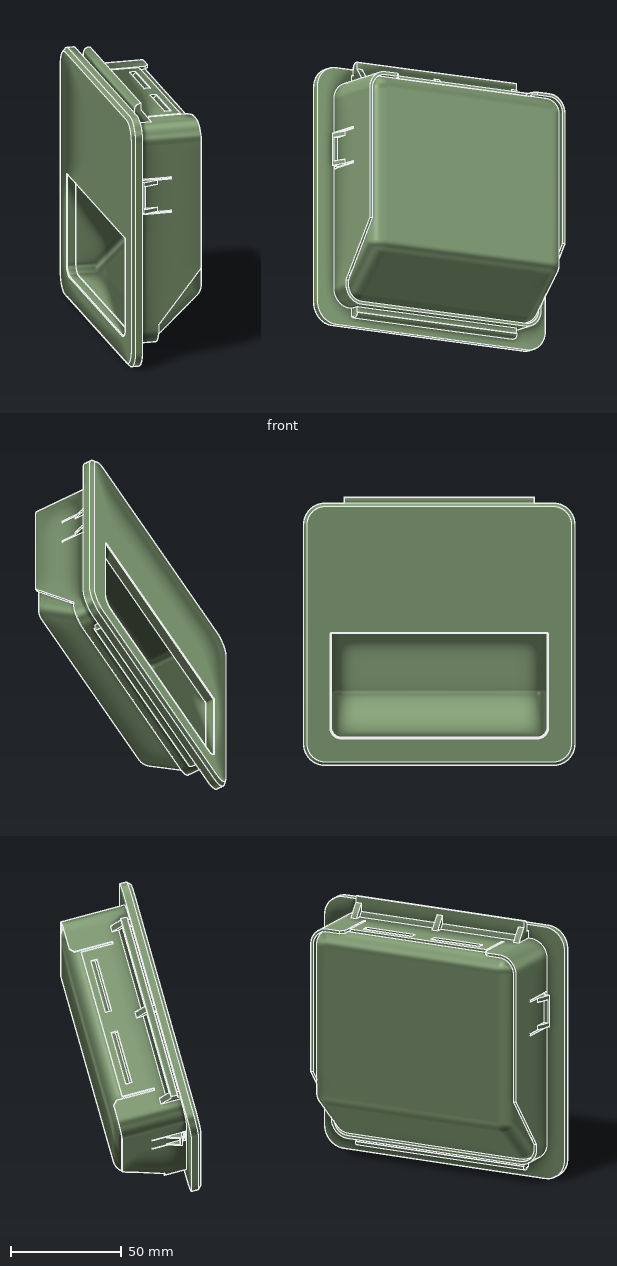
import cadquery as cq


PLATE_WIDTH = 123.0
PLATE_HEIGHT = 118.8
PLATE_THICKNESS = 4.9
PLATE_CORNER = 9.8
PLATE_CHAMFER = 1.6

RING_HALF_WIDTH = 52.6
RING_BOTTOM = 8.4
RING_TOP = 112.4
RING_CORNER = 8.4
RING_THICKNESS = 1.4
RING_BACK = 34.9
RING_SLOPE_TOP = 44.0
RING_LOW_BACK = 15.0
RING_LOW_TOP = 18.7

CUP_BACK = 37.0
CUP_OUTER_ROUND = RING_CORNER - RING_THICKNESS
CUP_WALL = 2.5
CUP_INNER_ROUND = CUP_OUTER_ROUND - CUP_WALL
CUP_CENTRE_X = RING_HALF_WIDTH - RING_CORNER
CUP_CENTRE_TOP = RING_TOP - RING_CORNER
CUP_CENTRE_BACK = CUP_BACK - CUP_OUTER_ROUND
CUP_CENTRE_BOTTOM = 17.3
CUP_CENTRE_BEND = 34.0
CUP_CENTRE_SLOPE_FRONT = 12.3
CAVITY_FRONT = 4.3

MOUTH_TOP = 59.8
MOUTH_STEP = 0.4
MOUTH_CHAMFER = 0.4
MOUTH_TOP_CORNER = 0.5

NOTCH_HALF_WIDTH = 35.9
NOTCH_FRONT = 30.1
NOTCH_CHAMFER = 1.8
TOP_SLIT_WIDTH = 1.0
TOP_SLIT_FRONT = 15.1

SLOT_INNER_X = 4.9
SLOT_OUTER_X = 29.8
SLOT_FRONT = 24.1
SLOT_BACK = 27.0
SLOT_LEDGE = 1.0
SLOT_DEPTH = 2.5
SLOT_BACK_DEPTH = 0.4

TAB_Z = 80.2
TAB_FRONT = 6.3
TAB_BACK = 20.9
TAB_HEIGHT = 14.9
SIDE_SLIT_WIDTH = 1.0
BARB_FRONT = 7.3
BARB_BACK = 14.3
BARB_REACH = 2.3
BARB_RIB = 2.0
BARB_LIP = 0.9

HOOK_HALF_WIDTH = 43.0
HOOK_TOP = 121.5
HOOK_FRONT = 6.2
HOOK_BACK = 9.3
HOOK_ROUND = 2.7
HOOK_WEB_BACK = 11.1
HOOK_RIB_BACK = 14.1
HOOK_RIB_TOP = 118.5
HOOK_RIB_WIDTH = 2.8
HOOK_FOOT_TOP = 116.0
BEAD_BOTTOM = 3.7
BEAD_BULGE = 0.5
BEAD_ROUND = 2.1
BEAD_FOOT = 4.4


def span(x0, x1, y0, y1, z0, z1):
    """Box between two opposite corners."""
    return cq.Workplane("XY").box(x1 - x0, y1 - y0, z1 - z0, centered=False).translate((x0, y0, z0))


def side_prism(points, x0, x1):
    """Closed (Y, Z) outline extruded from x0 to x1."""
    return cq.Workplane("YZ").workplane(offset=x0).polyline(points).close().extrude(x1 - x0)


def rounded_block(half_width, bottom, top, corner, front, back):
    """Block along Y with four rounded corners."""
    block = span(-half_width, half_width, front, back, bottom, top)
    return block.edges("|Y").fillet(corner)


def front_plate():
    """Rounded plate with a chamfered front edge."""
    plate = rounded_block(PLATE_WIDTH / 2, 0, PLATE_HEIGHT, PLATE_CORNER, 0, PLATE_THICKNESS)
    return plate.faces("<Y").chamfer(PLATE_CHAMFER)


def wall_ring():
    """Rounded wall whose back edge drops along a slope to a low lower end."""
    outer = rounded_block(RING_HALF_WIDTH, RING_BOTTOM, RING_TOP, RING_CORNER, PLATE_THICKNESS, RING_BACK)
    inner = rounded_block(
        RING_HALF_WIDTH - RING_THICKNESS,
        RING_BOTTOM + RING_THICKNESS,
        RING_TOP - RING_THICKNESS,
        RING_CORNER - RING_THICKNESS,
        PLATE_THICKNESS,
        RING_BACK,
    )
    outline = [
        (0, 0),
        (RING_LOW_BACK, 0),
        (RING_LOW_BACK, RING_LOW_TOP),
        (RING_BACK, RING_SLOPE_TOP),
        (RING_BACK, RING_TOP),
        (0, RING_TOP),
    ]
    return outer.cut(inner).intersect(side_prism(outline, -RING_HALF_WIDTH, RING_HALF_WIDTH))


def rounded_cup(rounding, front):
    """Cup with a sloping lower back, grown by the rounding around its centres and flat at the front."""
    half_width = CUP_CENTRE_X + rounding
    centres = [
        (front, CUP_CENTRE_BOTTOM),
        (CUP_CENTRE_SLOPE_FRONT, CUP_CENTRE_BOTTOM),
        (CUP_CENTRE_BACK, CUP_CENTRE_BEND),
        (CUP_CENTRE_BACK, CUP_CENTRE_TOP),
        (front, CUP_CENTRE_TOP),
    ]
    body = (
        cq.Workplane("YZ")
        .workplane(offset=-half_width)
        .polyline(centres)
        .close()
        .offset2D(rounding, "intersection")
        .extrude(2 * half_width)
    )
    body = body.edges("not(<Y)").fillet(rounding)
    return body.intersect(span(-half_width, half_width, front, CUP_BACK, 0, RING_TOP))


def mouth():
    """Opening through the plate, flared at the front face."""
    rounding = CUP_INNER_ROUND + MOUTH_STEP
    half_width = CUP_CENTRE_X + rounding
    opening = span(-half_width, half_width, 0, CAVITY_FRONT, CUP_CENTRE_BOTTOM - rounding, MOUTH_TOP)
    opening = opening.edges("|Y and <Z").fillet(rounding)
    opening = opening.edges("|Y and >Z").fillet(MOUTH_TOP_CORNER)
    rim = opening.faces("<Y").wires().toPending().offset2D(MOUTH_CHAMFER)
    flare = rim.extrude(-MOUTH_CHAMFER, taper=45, combine=False)
    return opening.union(flare)


def tongue_cuts():
    """Notch at the back of the ring top and the two slits beside the tongue."""
    floor = RING_TOP - RING_THICKNESS
    wide = NOTCH_HALF_WIDTH + NOTCH_CHAMFER
    notch = (
        cq.Workplane("XY")
        .workplane(offset=floor)
        .polyline(
            [
                (-NOTCH_HALF_WIDTH, NOTCH_FRONT),
                (NOTCH_HALF_WIDTH, NOTCH_FRONT),
                (NOTCH_HALF_WIDTH, RING_BACK - NOTCH_CHAMFER),
                (wide, RING_BACK),
                (-wide, RING_BACK),
                (-NOTCH_HALF_WIDTH, RING_BACK - NOTCH_CHAMFER),
            ]
        )
        .close()
        .extrude(RING_THICKNESS)
    )
    slit = span(
        NOTCH_HALF_WIDTH - TOP_SLIT_WIDTH, NOTCH_HALF_WIDTH, TOP_SLIT_FRONT, NOTCH_FRONT, floor, RING_TOP
    )
    return notch.union(slit).union(slit.mirror("YZ"))


def tongue_slots():
    """Two blind slots, each with a flat front strip and a floor rising to the back."""
    section = [
        (SLOT_FRONT, RING_TOP),
        (SLOT_FRONT, RING_TOP - SLOT_DEPTH),
        (SLOT_FRONT + SLOT_LEDGE, RING_TOP - SLOT_DEPTH),
        (SLOT_BACK, RING_TOP - SLOT_BACK_DEPTH),
        (SLOT_BACK, RING_TOP),
    ]
    slot = side_prism(section, SLOT_INNER_X, SLOT_OUTER_X)
    return slot.union(slot.mirror("YZ"))


def tab_slit():
    """U-shaped slit around the +X snap tab, open towards the back."""
    x0 = RING_HALF_WIDTH - RING_THICKNESS
    half = TAB_HEIGHT / 2
    outer = half + SIDE_SLIT_WIDTH
    front = TAB_FRONT - SIDE_SLIT_WIDTH
    frame = span(x0, RING_HALF_WIDTH, front, TAB_BACK, TAB_Z - outer, TAB_Z + outer)
    return frame.cut(span(x0, RING_HALF_WIDTH, TAB_FRONT, TAB_BACK, TAB_Z - half, TAB_Z + half))


def tab_barb():
    """Wedge on the +X snap tab, hollowed between its end ribs and front lip."""
    half = TAB_HEIGHT / 2
    tip = RING_HALF_WIDTH + BARB_REACH
    wedge = (
        cq.Workplane("XY")
        .workplane(offset=TAB_Z - half)
        .polyline(
            [
                (RING_HALF_WIDTH - RING_THICKNESS, BARB_FRONT),
                (tip, BARB_FRONT),
                (RING_HALF_WIDTH, BARB_BACK),
                (RING_HALF_WIDTH - RING_THICKNESS, BARB_BACK),
            ]
        )
        .close()
        .extrude(TAB_HEIGHT)
    )
    inner = half - BARB_RIB
    hollow = span(RING_HALF_WIDTH, tip, BARB_FRONT + BARB_LIP, BARB_BACK, TAB_Z - inner, TAB_Z + inner)
    return wedge.cut(hollow)


def top_hook():
    """Long hook with a rounded nose, a sloped root and three ribs."""
    base = RING_TOP - RING_THICKNESS
    slope = (HOOK_RIB_TOP - RING_TOP) / (HOOK_RIB_BACK - HOOK_BACK)
    web_top = RING_TOP + slope * (HOOK_WEB_BACK - HOOK_BACK)
    bar = span(-HOOK_HALF_WIDTH, HOOK_HALF_WIDTH, HOOK_FRONT, HOOK_BACK, base, HOOK_TOP)
    bar = bar.edges("|X and <Y and >Z").fillet(HOOK_ROUND)
    root = [
        (PLATE_THICKNESS, base),
        (HOOK_WEB_BACK, base),
        (HOOK_WEB_BACK, RING_TOP),
        (HOOK_BACK, web_top),
        (HOOK_FRONT, HOOK_FOOT_TOP),
        (PLATE_THICKNESS, RING_TOP),
    ]
    hook = bar.union(side_prism(root, -HOOK_HALF_WIDTH, HOOK_HALF_WIDTH))
    rib = [
        (PLATE_THICKNESS, base),
        (HOOK_RIB_BACK, base),
        (HOOK_RIB_BACK, RING_TOP),
        (HOOK_BACK, HOOK_RIB_TOP),
        (HOOK_BACK, HOOK_FOOT_TOP),
        (PLATE_THICKNESS, HOOK_FOOT_TOP),
    ]
    outer_rib = HOOK_HALF_WIDTH - HOOK_RIB_WIDTH / 2
    for x in (-outer_rib, 0, outer_rib):
        hook = hook.union(side_prism(rib, x - HOOK_RIB_WIDTH / 2, x + HOOK_RIB_WIDTH / 2))
    return hook


def bottom_bead():
    """Bead under the ring, rounded at its lower back."""
    base = RING_BOTTOM + RING_THICKNESS
    nose = HOOK_BACK + BEAD_BULGE
    return (
        cq.Workplane("YZ")
        .workplane(offset=-HOOK_HALF_WIDTH)
        .moveTo(PLATE_THICKNESS, base)
        .lineTo(HOOK_BACK, base)
        .lineTo(HOOK_BACK, BEAD_BOTTOM + BEAD_ROUND)
        .lineTo(nose, BEAD_BOTTOM + BEAD_ROUND)
        .radiusArc((nose - BEAD_ROUND, BEAD_BOTTOM), BEAD_ROUND)
        .lineTo(HOOK_FRONT, BEAD_BOTTOM)
        .lineTo(HOOK_FRONT, BEAD_FOOT)
        .lineTo(PLATE_THICKNESS, BEAD_FOOT)
        .close()
        .extrude(2 * HOOK_HALF_WIDTH)
    )


ring = wall_ring().cut(tongue_cuts())
result = front_plate().union(ring).union(rounded_cup(CUP_OUTER_ROUND, PLATE_THICKNESS))
result = result.cut(rounded_cup(CUP_INNER_ROUND, CAVITY_FRONT)).cut(mouth()).cut(tongue_slots())
result = result.union(top_hook()).union(bottom_bead())
result = result.cut(tab_slit()).cut(tab_slit().mirror("YZ"))
result = result.union(tab_barb()).union(tab_barb().mirror("YZ"))